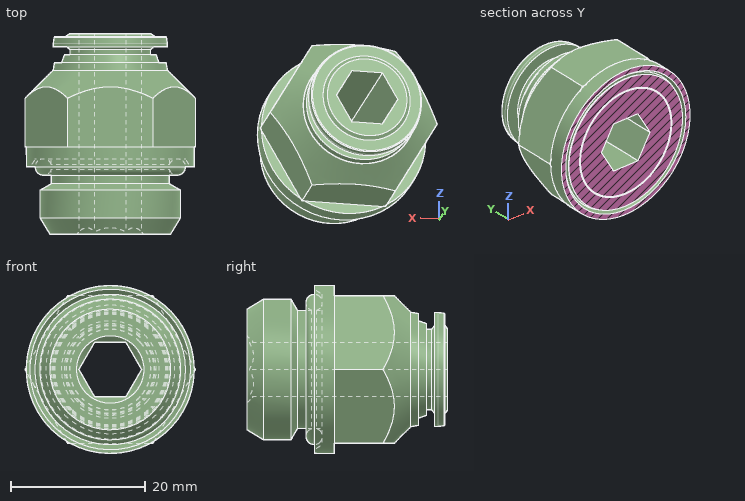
import cadquery as cq
import math

total_length = 29.85

plug_radius = 20.95 / 2
plug_nose_radius = 8.98
plug_nose_length = 2.45
plug_shoulder_start = 6.57
plug_shoulder_end = 7.52
relief_radius = 17.6 / 2

collar_radius = 25.0 / 2
collar_start = 10.03
collar_end = 13.0
recess_mouth_radius = 11.95
seal_section_radius = 1.22
seal_inner_radius = 17.5 / 2
seal_centre_radius = seal_inner_radius + seal_section_radius
seal_outer_radius = seal_centre_radius + seal_section_radius
seal_overlap = relief_radius - seal_inner_radius
seal_centre_y = 10.0
recess_floor = seal_centre_y + seal_section_radius - seal_overlap

hex_corner_diameter = 25.4
cone_start = 20.25
cone_end = 24.35
cone_end_radius = hex_corner_diameter / 2 - (cone_end - cone_start)

large_step_base_radius = 8.55
large_step_top_radius = 8.33
large_step_end = 25.55
small_step_base_radius = 7.25
small_step_top_radius = 6.85
small_step_end = 26.75

neck_radius = 12.0 / 2
neck_flare_start = 27.45
neck_flare_radius = 6.5
flange_start = 27.88
flange_radius = 17 / 2
flange_taper_start = 28.42
flange_bevel_start = 29.3
flange_bevel_radius = 8.4
flange_end = 29.45
flange_top_radius = 8.25
crown_base_radius = 6.63
crown_top_radius = 12.1 / 2

bore_flat_width = 8.05
bore_corner_diameter = bore_flat_width / math.cos(math.radians(30))
lead_in_radius = 10.03 / 2
lead_in_depth = lead_in_radius - bore_flat_width / 2


def revolve_profile(points):
    """Revolve (radius, y) points, closed along the axis, about Y."""
    return cq.Workplane("XY").polyline(points).close().revolve(360, (0, 0), (0, 1))


def hex_prism(corner_diameter, start, end):
    """Hexagonal prism along Y with two corners on the X axis."""
    plane = cq.Plane(origin=(0, start, 0), xDir=(1, 0, 0), normal=(0, 1, 0))
    return cq.Workplane(plane).polygon(6, corner_diameter).extrude(end - start)


def make_threaded_end():
    return revolve_profile([
        (0, 0),
        (plug_nose_radius, 0),
        (plug_radius, plug_nose_length),
        (plug_radius, plug_shoulder_start),
        (relief_radius, plug_shoulder_end),
        (relief_radius, recess_floor),
        (seal_outer_radius, recess_floor),
        (recess_mouth_radius, collar_start),
        (collar_radius, collar_start),
        (collar_radius, collar_end),
        (0, collar_end),
    ])


def make_seal_ring():
    return (
        cq.Workplane("XY")
        .center(seal_centre_radius, seal_centre_y)
        .circle(seal_section_radius)
        .revolve(360, (-seal_centre_radius, 0), (-seal_centre_radius, 1))
    )


def make_hex_body():
    envelope = revolve_profile([
        (0, collar_end),
        (hex_corner_diameter / 2, collar_end),
        (hex_corner_diameter / 2, cone_start),
        (cone_end_radius, cone_end),
        (0, cone_end),
    ])
    return hex_prism(hex_corner_diameter, collar_end, cone_end).intersect(envelope)


def make_release_end():
    return revolve_profile([
        (0, cone_end),
        (large_step_base_radius, cone_end),
        (large_step_top_radius, large_step_end),
        (small_step_base_radius, large_step_end),
        (small_step_top_radius, small_step_end),
        (neck_radius, small_step_end),
        (neck_radius, neck_flare_start),
        (neck_flare_radius, flange_start),
        (flange_radius, flange_start),
        (flange_radius, flange_taper_start),
        (flange_bevel_radius, flange_bevel_start),
        (flange_top_radius, flange_end),
        (crown_base_radius, flange_end),
        (crown_top_radius, total_length),
        (0, total_length),
    ])


def make_key_bore():
    lead_in = revolve_profile([
        (0, 0),
        (lead_in_radius, 0),
        (lead_in_radius - lead_in_depth, lead_in_depth),
        (0, lead_in_depth),
    ])
    return hex_prism(bore_corner_diameter, 0, total_length).union(lead_in)


body = make_threaded_end().union(make_hex_body()).union(make_release_end())
result = body.union(make_seal_ring()).cut(make_key_bore())